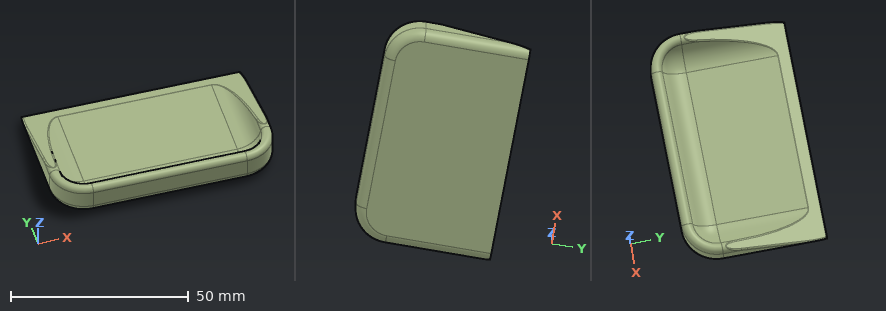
import cadquery as cq
import math

width = 65.0
depth = 40.0
height = 9.75

corner_sweep = 90.0
corner_radius = 10.0
floor_thickness = 3.0
bottom_radius = 3.0
cove_radius = 7.0

back_thickness = 2.0
slope_angle = 15.0
slope_edge_radius = 0.5

half_width = width / 2
front_y = -depth / 2
back_y = depth / 2
corner_x = half_width - corner_radius
corner_y = front_y + corner_radius
side_length = back_y - corner_y
floor_width = 2 * corner_x
cove_center_z = floor_thickness + cove_radius

rim_drop = cove_center_z - height
half_linear = corner_radius + cove_radius - rim_drop
constant = corner_radius**2 + rim_drop**2 - cove_radius**2
rim_radius = half_linear - math.sqrt(half_linear**2 - constant)
rim_center_z = height - rim_radius


def polar(center, radius, angle):
    """Point on a circle, angle in radians."""
    return (center[0] + radius * math.cos(angle), center[1] + radius * math.sin(angle))


def wall_section(plane):
    """Wall section: local x runs outward from the floor edge, local y runs up."""
    bottom_center = (corner_radius - bottom_radius, bottom_radius)
    rim_center = (corner_radius - rim_radius, rim_center_z)
    cove_center = (0, cove_center_z)
    meet_angle = math.atan2(cove_center[1] - rim_center[1], cove_center[0] - rim_center[0])
    cove_end_angle = meet_angle - math.pi
    cove_start_angle = -math.pi / 2
    return (
        cq.Workplane(plane)
        .moveTo(0, 0)
        .lineTo(corner_radius - bottom_radius, 0)
        .threePointArc(polar(bottom_center, bottom_radius, -math.pi / 4), (corner_radius, bottom_radius))
        .lineTo(corner_radius, rim_center_z)
        .threePointArc(
            polar(rim_center, rim_radius, meet_angle / 2),
            polar(rim_center, rim_radius, meet_angle),
        )
        .threePointArc(
            polar(cove_center, cove_radius, (cove_start_angle + cove_end_angle) / 2),
            (0, floor_thickness),
        )
        .close()
    )


def make_floor():
    floor_center_y = (corner_y + back_y) / 2
    return (
        cq.Workplane("XY")
        .center(0, floor_center_y)
        .rect(floor_width, side_length)
        .extrude(floor_thickness)
    )


def make_right_side():
    plane = cq.Plane(origin=(corner_x, back_y, 0), xDir=(1, 0, 0), normal=(0, -1, 0))
    return wall_section(plane).extrude(side_length)


def make_right_corner():
    plane = cq.Plane(origin=(corner_x, corner_y, 0), xDir=(1, 0, 0), normal=(0, -1, 0))
    return wall_section(plane).revolve(corner_sweep, (0, 0), (0, -1))


def make_front_wall():
    plane = cq.Plane(origin=(corner_x, corner_y, 0), xDir=(0, -1, 0), normal=(-1, 0, 0))
    return wall_section(plane).extrude(floor_width)


def make_tray():
    """Floor, front wall and two mirrored sides with their corners."""
    right = make_right_side().union(make_right_corner())
    return make_floor().union(make_front_wall()).union(right).union(right.mirror("YZ"))


def cut_slope(tray):
    """Remove everything above the plane rising forward from the back edge."""
    run = (height - back_thickness) / math.tan(math.radians(slope_angle))
    cutter = (
        cq.Workplane("YZ")
        .moveTo(back_y, back_thickness)
        .lineTo(back_y - run, height)
        .lineTo(back_y, height)
        .close()
        .extrude(half_width, both=True)
    )
    return tray.cut(cutter)


def round_slope_edges(tray):
    """Round every edge of the sloped face, found by its normal direction."""
    tilt = math.radians(slope_angle)
    slope_normal = cq.Vector(0, math.sin(tilt), math.cos(tilt))
    slope_face = tray.faces(cq.selectors.ParallelDirSelector(slope_normal))
    return slope_face.edges().fillet(slope_edge_radius)


result = round_slope_edges(cut_slope(make_tray())).solids()